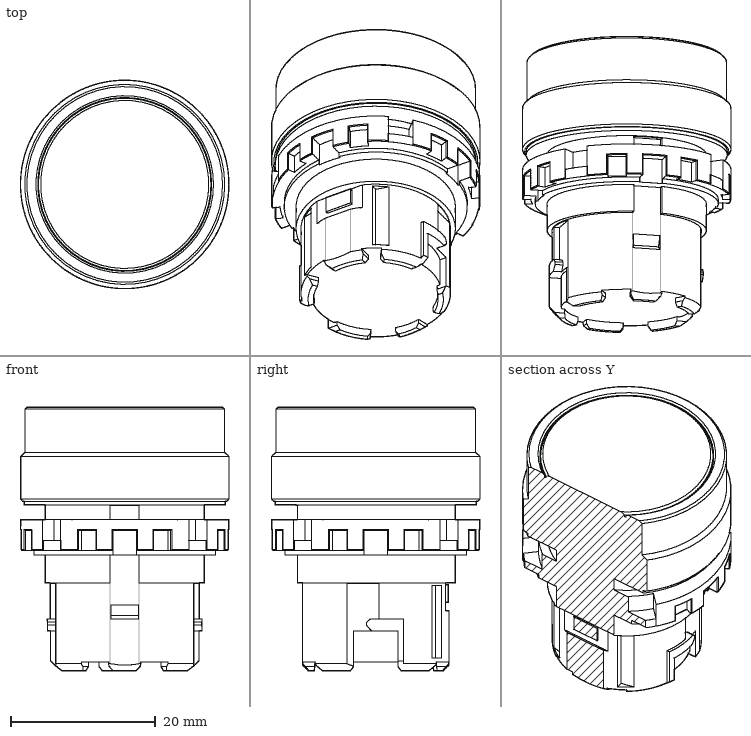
import cadquery as cq
import math

total_height = 36.4
sleeve_bottom = 1.2
sleeve_top = 12.15
plate_bottom = 15.95
ring_bottom = 16.6
ring_top = 20.85
gasket_bottom = 22.9
gasket_top = 23.4
collar_bottom = gasket_top
collar_top = 29.6
bezel_bottom = 30.15

sleeve_diameter = 20.64
core_diameter = 18.1
neck_diameter = 22.0
plate_diameter = 25.3
ring_diameter = 28.8
gasket_diameter = 27.8
collar_diameter = 28.8
bezel_diameter = 27.6

bore_diameter = 24.0
button_diameter = 23.8
groove_depth = 0.6
button_chamfer = 0.3
bezel_outer_chamfer = 0.3
bezel_inner_chamfer = 0.25
collar_chamfer = 0.3

slot_floor_diameter = 26.5
slot_ceiling = 19.38
slot_edge_chamfer = 0.12
wide_slot_width = 3.26
wide_slot_floor_diameter = 24.8
narrow_slot_width = 2.57
narrow_slot_angle = 21.25
corner_notch_width = 3.5
corner_notch_floor_diameter = 24.4
corner_notch_ledge = 18.0
corner_ledge_diameter = 28.5

key_width = 4.0
key_flat = math.sqrt((sleeve_diameter / 2) ** 2 - (key_width / 2) ** 2)
key_top = 22.8

pocket_width = 3.8
pocket_bottom = 7.13
pocket_root = 7.66
pocket_top = 9.1
pocket_depth = 0.65

back_recess_bottom = 8.3
back_recess_flat = 9.64
back_pad_bottom = 9.45
back_pad_top = 11.9
back_pad_face = 10.03

side_flat = 9.5
side_flat_front = -3.95
side_flat_back = 0.47
side_flat_top = 12.05
window_half_width = 3.05
window_top = 5.5
hook_diameter = 21.4
hook_back = 3.82
hook_top = 7.15
hook_shoulder = -0.78
hook_tip_upper = (-1.24, 6.7)
hook_tip_lower = (-1.3, 6.3)
hook_heel = -0.57

rear_slot_wall = 4.94
rear_slot_root = 8.22
rear_slot_exit_x = 6.9
rear_slot_exit_y = 7.75
rear_slot_bottom = 1.75
rear_slot_top = 11.8

foot_inner_diameter = 17.2
foot_chamfer_height = 0.98
side_foot_start = 35.5
front_foot_half_angle = 12.5
rear_foot_left_edge = 3.56
foot_bevel_width = 0.44
foot_bevel_height = 0.6


def disc(diameter, bottom, top):
    return cq.Workplane("XY").workplane(offset=bottom).circle(diameter / 2).extrude(top - bottom)


def box(x_range, y_range, z_range):
    size = [high - low for low, high in (x_range, y_range, z_range)]
    corner = (x_range[0], y_range[0], z_range[0])
    return cq.Workplane("XY").box(*size, centered=False).translate(corner)


def both_sides(shape):
    return shape.union(shape.mirror("YZ"))


def sector(start, end, spread=0.0):
    """Flat wedge between two angles from -Y toward +X, its sides moved apart by a spread."""
    setback = spread / math.sin(math.radians(end - start) / 2)
    reach = ring_diameter
    middle = math.radians((start + end) / 2)
    apex_x = -setback * math.sin(middle)
    apex_y = setback * math.cos(middle)
    points = [(apex_x, apex_y)]
    for angle in map(math.radians, (start, end)):
        points.append((apex_x + reach * math.sin(angle), apex_y - reach * math.cos(angle)))
    return cq.Workplane("XY").polyline(points).close()


def make_head():
    gasket = disc(gasket_diameter, gasket_bottom, gasket_top)
    collar = disc(collar_diameter, collar_bottom, bezel_bottom)
    collar = collar.faces("<Z").chamfer(collar_chamfer)
    shoulder_drop = bezel_bottom - collar_top
    shoulder_width = (collar_diameter - bezel_diameter) / 2
    collar = collar.faces(">Z").chamfer(shoulder_drop, shoulder_width)
    bezel = disc(bezel_diameter, bezel_bottom, total_height)
    bezel = bezel.faces(">Z").chamfer(bezel_outer_chamfer)
    bore = disc(bore_diameter, total_height - groove_depth, total_height)
    bezel = bezel.cut(bore)
    bore_rim = bezel.faces(">Z").edges(cq.selectors.RadiusNthSelector(0))
    bezel = bore_rim.chamfer(bezel_inner_chamfer)
    button = disc(button_diameter, total_height - groove_depth, total_height)
    button = button.faces(">Z").chamfer(button_chamfer)
    return gasket.union(collar).union(bezel).union(button)


def turn(shape, angle):
    return shape.rotate((0, 0, 0), (0, 0, 1), angle)


def four_times(shape):
    copies = shape
    for quarter in range(1, 4):
        copies = copies.union(turn(shape, 90 * quarter))
    return copies


def radial_slot(width, floor_diameter, bottom, top):
    """Slot cut in from the front (-Y) down to a round floor."""
    slot = box((-width / 2, width / 2), (-ring_diameter, 0), (bottom, top))
    return slot.cut(disc(floor_diameter, bottom, top))


def make_ring():
    wide_slot = radial_slot(wide_slot_width, wide_slot_floor_diameter, plate_bottom, slot_ceiling)
    narrow_slot = radial_slot(narrow_slot_width, slot_floor_diameter, ring_bottom, slot_ceiling)
    near_slot = turn(narrow_slot, narrow_slot_angle)
    far_slot = turn(narrow_slot, 90 - narrow_slot_angle)
    slots = four_times(wide_slot.union(near_slot).union(far_slot))
    rim = disc(ring_diameter, ring_bottom, ring_top).cut(slots)
    outer_radius = ring_diameter / 2

    def needs_bevel(edge):
        middle = edge.positionAt(0.5)
        on_outer_face = math.hypot(middle.x, middle.y) > outer_radius - slot_edge_chamfer
        return on_outer_face and middle.z < ring_top - slot_edge_chamfer

    rim = rim.edges().filter(needs_bevel).chamfer(slot_edge_chamfer)

    plate = disc(plate_diameter, plate_bottom, ring_bottom).cut(slots)
    notch = radial_slot(corner_notch_width, corner_notch_floor_diameter, corner_notch_ledge, ring_top)
    ledge_cut = radial_slot(corner_notch_width, corner_ledge_diameter, ring_bottom, corner_notch_ledge)
    corner_cuts = four_times(turn(notch.union(ledge_cut), 45))
    return rim.union(plate).cut(corner_cuts)


def make_feet(diameter):
    """Full ring of foot material, bevelled outside at the tips."""
    foot = disc(diameter, 0, sleeve_top)
    bevel = foot_chamfer_height + (diameter - sleeve_diameter) / 2
    return foot.faces("<Z").chamfer(bevel)


def foot_gap(start, end):
    """Gap between two feet, widened at the tips by bevelled corners."""
    bevel_angle = math.degrees(math.atan2(foot_bevel_width, foot_bevel_height))
    bevel = sector(start, end, foot_bevel_width).extrude(foot_bevel_height, taper=bevel_angle)
    return sector(start, end).extrude(sleeve_bottom).union(bevel)


def rear_left_gap():
    """Gap with one side parallel to Y, along the left edge of the rear foot."""
    edge = -rear_foot_left_edge
    side = 180 + side_foot_start
    inner_angle = math.degrees(math.asin(2 * rear_foot_left_edge / foot_inner_diameter))
    outline = [
        (edge, sleeve_bottom),
        (edge, foot_bevel_height),
        (edge + foot_bevel_width, 0),
        (-sleeve_diameter, 0),
        (-sleeve_diameter, sleeve_bottom),
    ]
    slab = cq.Workplane("XZ").polyline(outline).close().extrude(-sleeve_diameter)
    wedge = sector(180, side).extrude(sleeve_bottom)
    return slab.intersect(wedge).union(foot_gap(180 + inner_angle, side))


def make_sleeve():
    sleeve = make_feet(sleeve_diameter)
    sleeve = sleeve.cut(disc(foot_inner_diameter, 0, sleeve_bottom))
    front_gap = foot_gap(front_foot_half_angle, side_foot_start)
    rear_right_gap = foot_gap(180 - side_foot_start, 180 - front_foot_half_angle)
    sleeve = sleeve.cut(both_sides(front_gap)).cut(rear_right_gap).cut(rear_left_gap())
    sleeve = sleeve.cut(both_sides(side_recess()))
    sleeve = sleeve.cut(both_sides(rear_slot()))
    return sleeve.union(both_sides(hook()))


def side_recess():
    outside = sleeve_diameter
    flat = box((side_flat, outside), (side_flat_front, side_flat_back), (0, side_flat_top))
    half = window_half_width
    outline = [
        (-half, window_top),
        (-half, foot_bevel_height),
        (-half - foot_bevel_width, 0),
        (half + foot_bevel_width, 0),
        (half, foot_bevel_height),
        (half, window_top),
    ]
    window = cq.Workplane("YZ").polyline(outline).close().extrude(outside)
    keep = disc(core_diameter, sleeve_bottom, window_top)
    return flat.union(window.cut(keep))


def hook():
    """L-shaped bayonet hook: a leg at the back and an arm with a pointed tip."""
    outline = [
        (hook_back, 0),
        (hook_back, hook_top),
        (hook_shoulder, hook_top),
        hook_tip_upper,
        hook_tip_lower,
        (hook_heel, window_top),
        (window_half_width, window_top),
        (window_half_width, foot_bevel_height),
        (window_half_width + foot_bevel_width, 0),
    ]
    profile = cq.Workplane("YZ").polyline(outline).close().extrude(hook_diameter)
    shell = make_feet(hook_diameter).cut(disc(foot_inner_diameter, 0, sleeve_top))
    return profile.intersect(shell)


def rear_slot():
    outline = [
        (rear_slot_wall, rear_slot_root),
        (rear_slot_exit_x, rear_slot_exit_y),
        (rear_slot_exit_x, sleeve_diameter),
        (rear_slot_wall, sleeve_diameter),
    ]
    slot = cq.Workplane("XY").workplane(offset=rear_slot_bottom).polyline(outline).close()
    return slot.extrude(rear_slot_top - rear_slot_bottom)


def front_key():
    half = key_width / 2
    flat = box((-half, half), (-neck_diameter, -key_flat), (0, key_top))
    outline = [
        (-key_flat, pocket_bottom),
        (-key_flat + pocket_depth, pocket_root),
        (-key_flat, pocket_top),
    ]
    pocket = cq.Workplane("YZ").polyline(outline).close().extrude(pocket_width / 2, both=True)
    return flat.union(pocket)


def back_key():
    half = key_width / 2
    outside = sleeve_diameter
    flat = box((-half, half), (key_flat, outside), (0, sleeve_top))
    recess = box((-outside, outside), (back_recess_flat, outside), (back_recess_bottom, sleeve_top))
    pad = box((-half, half), (0, back_pad_face), (back_pad_bottom, back_pad_top))
    return flat.union(recess).cut(pad)


neck = disc(neck_diameter, sleeve_top, gasket_bottom)
barrel = make_sleeve().union(neck).cut(front_key()).cut(back_key())
result = barrel.union(make_ring()).union(make_head())